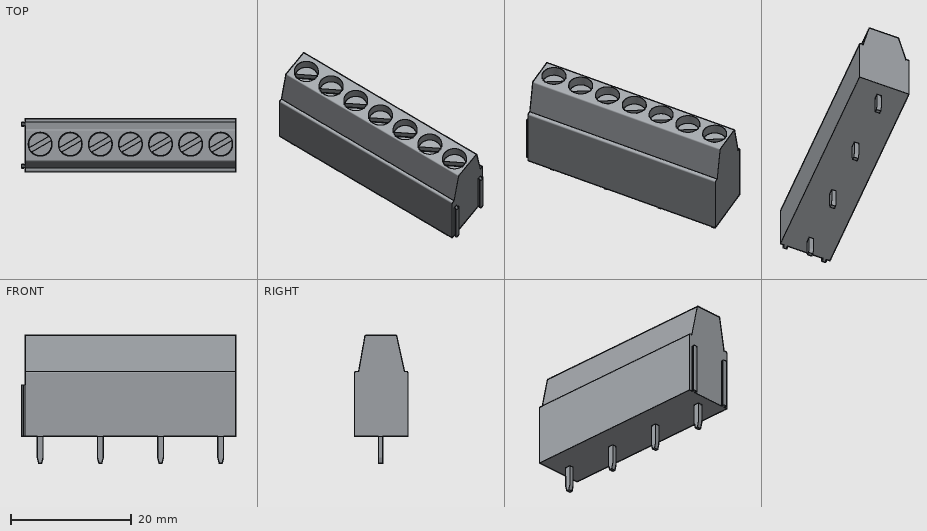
import cadquery as cq

TOTAL_LENGTH = 35.55
BODY_DEPTH = 8.9
TOTAL_HEIGHT = 21.3
POLE_COUNT = 7

RIB_PROJECTION = 0.57
RIB_HEIGHT = 8.55
RIB_HEAD_WIDTH = 0.75
RIB_HEAD_THICKNESS = 0.3
RIB_NECK_WIDTH = 0.43
RIB_ROOT_WIDTH = 0.65
RIB_EDGE_RADIUS = 0.1
RIB_CENTERS_Y = (3.52, -3.45)

PIN_LENGTH = 4.48
PIN_WIDTH = 1.0
PIN_THICKNESS = 0.78
PIN_TIP_WIDTH = 0.5
PIN_TIP_LENGTH = 0.95
PIN_CENTER_Y = -0.1
POLES_PER_PIN = 2

SHOULDER_HEIGHT = 10.8
TOP_FRONT_Y = -2.7
TOP_BACK_Y = 2.55
SHOULDER_FRONT_Y = -3.77
SHOULDER_BACK_Y = 3.87
EDGE_RADIUS = 0.3
TOP_BACK_RADIUS = 0.2

WELL_DIAMETER = 3.98
WELL_DEPTH = 2.8
SCREW_DIAMETER = 3.8
SCREW_RECESS = 1.7
SLOT_WIDTH = 0.8
SLOT_ANGLE = 30
SCREW_CENTER_Y = 0.18

body_length = TOTAL_LENGTH - RIB_PROJECTION
body_height = TOTAL_HEIGHT - PIN_LENGTH
body_left = RIB_PROJECTION - TOTAL_LENGTH / 2
pole_pitch = body_length / POLE_COUNT
pole_positions = [body_left + (i + 0.5) * pole_pitch for i in range(POLE_COUNT)]
half_depth = BODY_DEPTH / 2


def make_housing():
    """Extruded profile with a tapered upper part and rounded upper edges."""
    profile = [
        (-half_depth, 0),
        (half_depth, 0),
        (half_depth, SHOULDER_HEIGHT),
        (SHOULDER_BACK_Y, SHOULDER_HEIGHT),
        (TOP_BACK_Y, body_height),
        (TOP_FRONT_Y, body_height),
        (SHOULDER_FRONT_Y, SHOULDER_HEIGHT),
        (-half_depth, SHOULDER_HEIGHT),
    ]
    housing = cq.Workplane("YZ", origin=(body_left, 0, 0)).polyline(profile).close().extrude(body_length)
    housing = housing.faces("<Y or >Y").edges("|X and >Z").fillet(EDGE_RADIUS)
    housing = housing.faces(">Z").edges("<Y").fillet(EDGE_RADIUS)
    return housing.faces(">Z").edges(">Y").fillet(TOP_BACK_RADIUS)


def make_rib(center_y):
    """Upright T-shaped rib whose neck widens toward its root in the -X end face."""
    half_neck = RIB_NECK_WIDTH / 2
    half_root = RIB_ROOT_WIDTH / 2
    neck_outline = [
        (RIB_HEAD_THICKNESS, -half_neck),
        (RIB_PROJECTION, -half_root),
        (RIB_PROJECTION, half_root),
        (RIB_HEAD_THICKNESS, half_neck),
    ]
    neck = cq.Workplane("XY").polyline(neck_outline).close().extrude(RIB_HEIGHT)
    head = cq.Workplane("XY").box(RIB_HEAD_THICKNESS, RIB_HEAD_WIDTH, RIB_HEIGHT, centered=(False, True, False))
    head = head.edges("|Z and <X").fillet(RIB_EDGE_RADIUS)
    return head.union(neck).translate((-TOTAL_LENGTH / 2, center_y, 0))


def make_pin(center_x):
    """Flat pin below the housing with a tip that narrows along X."""
    half_width = PIN_WIDTH / 2
    half_tip = PIN_TIP_WIDTH / 2
    tip_start = PIN_TIP_LENGTH - PIN_LENGTH
    outline = [
        (-half_width, 0),
        (-half_width, tip_start),
        (-half_tip, -PIN_LENGTH),
        (half_tip, -PIN_LENGTH),
        (half_width, tip_start),
        (half_width, 0),
    ]
    pin = cq.Workplane("XZ").polyline(outline).close().extrude(PIN_THICKNESS / 2, both=True)
    return pin.translate((center_x, PIN_CENTER_Y, 0))


def make_screw_cavity(center_x):
    """Empty space around and above one slotted screw head."""
    head_height = WELL_DEPTH - SCREW_RECESS
    well = cq.Workplane("XY").circle(WELL_DIAMETER / 2).extrude(WELL_DEPTH)
    head = cq.Workplane("XY").circle(SCREW_DIAMETER / 2).extrude(head_height)
    slot = cq.Workplane("XY").box(WELL_DIAMETER, SLOT_WIDTH, head_height, centered=(True, True, False))
    slot = slot.rotate((0, 0, 0), (0, 0, 1), SLOT_ANGLE)
    cavity = well.cut(head.cut(slot))
    return cavity.translate((center_x, SCREW_CENTER_Y, body_height - WELL_DEPTH))


result = make_housing()
for rib_y in RIB_CENTERS_Y:
    result = result.union(make_rib(rib_y))
for pin_x in pole_positions[::POLES_PER_PIN]:
    result = result.union(make_pin(pin_x))
for pole_x in pole_positions:
    result = result.cut(make_screw_cavity(pole_x))